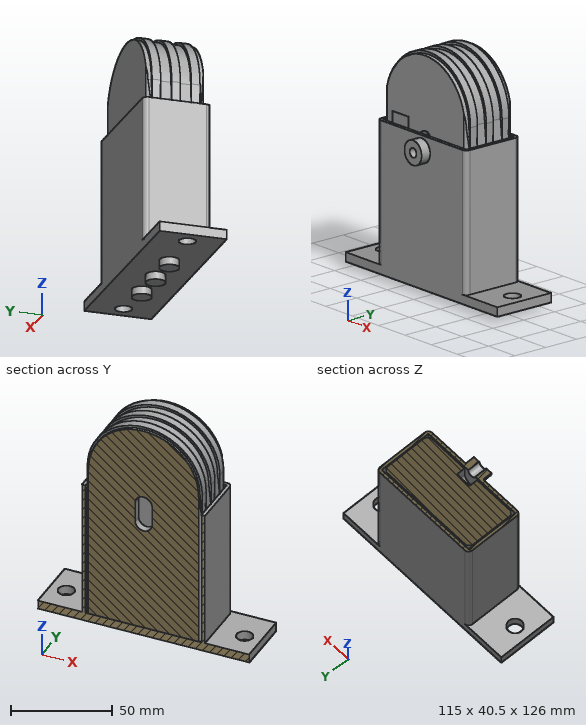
import cadquery as cq

BASE_LENGTH = 115.0
BASE_THICKNESS = 5.0
HOUSING_DEPTH = 35.0
HOUSING_HEIGHT = 80.0
TUBE_LENGTH = 67.0
WALL = 2.0
TUBE_CORNER_RADIUS = 2.5
FLANGE_HOLE_SPACING = 97.0
FLANGE_HOLE_DIAMETER = 8.6
BOSS_DIAMETER = 13.0
BOSS_HOLE_DIAMETER = 5.0
BOSS_PROJECTION = 5.5
BOSS_DROP = 8.0

HEAD_DEPTH = 30.0
RIB_RADIUS = 31.25
CORE_RADIUS = 30.0
HEAD_RISE = 42.0
TAPER_HEIGHT = 13.0
RIB_WIDTH = 4.5
RIB_PITCH = 10.25
RIB_COUNT = 3
FACE_LENGTH = 58.4
SLOT_WIDTH = 9.0
SLOT_TOP_RISE = 1.6
SLOT_BOTTOM_DROP = 18.0
SLOT_DEPTH = 5.0
RECESS_LEFT = -25.0
RECESS_LENGTH = 12.0
RECESS_RISE = 5.8
RECESS_HEIGHT = 12.0
RECESS_DEPTH = 0.2

PEG_DIAMETER = 10.0
PEG_PITCH = 21.0
PEG_COUNT = 3
PEG_PROJECTION = 4.0

BOSS_Z = HOUSING_HEIGHT - BOSS_DROP
ARCH_Z = HOUSING_HEIGHT + HEAD_RISE - RIB_RADIUS
HEAD_FRONT_Y = -HEAD_DEPTH / 2
HOUSING_FRONT_Y = -HOUSING_DEPTH / 2
PEG_POSITIONS = [((i - (PEG_COUNT - 1) / 2) * PEG_PITCH, 0) for i in range(PEG_COUNT)]


def front_cylinder(diameter, start_y, length):
    """Cylinder on the boss axis, running from start_y toward +Y."""
    return (
        cq.Workplane("XZ", origin=(0, start_y, BOSS_Z))
        .circle(diameter / 2)
        .extrude(-length)
    )


def make_housing():
    base = cq.Workplane("XY").box(BASE_LENGTH, HOUSING_DEPTH, BASE_THICKNESS, centered=(True, True, False))
    tube = (
        cq.Workplane("XY", origin=(0, 0, BASE_THICKNESS))
        .rect(TUBE_LENGTH, HOUSING_DEPTH)
        .extrude(HOUSING_HEIGHT - BASE_THICKNESS)
        .edges("|Z")
        .fillet(TUBE_CORNER_RADIUS)
    )
    cavity = (
        cq.Workplane("XY", origin=(0, 0, BASE_THICKNESS))
        .rect(TUBE_LENGTH - 2 * WALL, HOUSING_DEPTH - 2 * WALL)
        .extrude(HOUSING_HEIGHT - BASE_THICKNESS)
    )
    flange_holes = (
        cq.Workplane("XY")
        .pushPoints([(-FLANGE_HOLE_SPACING / 2, 0), (FLANGE_HOLE_SPACING / 2, 0)])
        .circle(FLANGE_HOLE_DIAMETER / 2)
        .extrude(BASE_THICKNESS)
    )
    peg_holes = (
        cq.Workplane("XY")
        .pushPoints(PEG_POSITIONS)
        .circle(PEG_DIAMETER / 2)
        .extrude(BASE_THICKNESS)
    )
    boss_end_y = HOUSING_FRONT_Y - BOSS_PROJECTION
    boss = front_cylinder(BOSS_DIAMETER, boss_end_y, BOSS_PROJECTION)
    boss_hole = front_cylinder(BOSS_HOLE_DIAMETER, boss_end_y, BOSS_PROJECTION + WALL)
    body = base.union(tube).cut(cavity).union(boss)
    return body.cut(boss_hole).cut(flange_holes).cut(peg_holes)


def make_head_core():
    """Arched block that widens from the arch down to the full rib width."""
    taper_end_z = ARCH_Z - TAPER_HEIGHT
    core = (
        cq.Workplane("XZ", origin=(0, -HEAD_FRONT_Y, 0))
        .moveTo(-RIB_RADIUS, BASE_THICKNESS)
        .lineTo(-RIB_RADIUS, taper_end_z)
        .lineTo(-CORE_RADIUS, ARCH_Z)
        .threePointArc((0, ARCH_Z + CORE_RADIUS), (CORE_RADIUS, ARCH_Z))
        .lineTo(RIB_RADIUS, taper_end_z)
        .lineTo(RIB_RADIUS, BASE_THICKNESS)
        .close()
        .extrude(HEAD_DEPTH)
    )
    chamfer_leg = RIB_RADIUS - FACE_LENGTH / 2
    chamfered_column = (
        cq.Workplane("XY", origin=(0, 0, BASE_THICKNESS))
        .rect(2 * RIB_RADIUS, HEAD_DEPTH)
        .extrude(ARCH_Z + CORE_RADIUS - BASE_THICKNESS)
        .edges("|Z")
        .chamfer(chamfer_leg)
    )
    return core.intersect(chamfered_column)


def make_rib(center_y):
    return (
        cq.Workplane("XZ", origin=(0, center_y + RIB_WIDTH / 2, 0))
        .moveTo(-RIB_RADIUS, BASE_THICKNESS)
        .lineTo(-RIB_RADIUS, ARCH_Z)
        .threePointArc((0, ARCH_Z + RIB_RADIUS), (RIB_RADIUS, ARCH_Z))
        .lineTo(RIB_RADIUS, BASE_THICKNESS)
        .close()
        .extrude(RIB_WIDTH)
    )


def make_head():
    head = make_head_core()
    for i in range(RIB_COUNT):
        head = head.union(make_rib((i - (RIB_COUNT - 1) / 2) * RIB_PITCH))
    slot_length = SLOT_TOP_RISE + SLOT_BOTTOM_DROP
    slot_center_z = HOUSING_HEIGHT + SLOT_TOP_RISE - slot_length / 2
    slot = (
        cq.Workplane("XZ", origin=(0, HEAD_FRONT_Y, slot_center_z))
        .slot2D(slot_length, SLOT_WIDTH, 90)
        .extrude(-SLOT_DEPTH)
    )
    recess = cq.Workplane("XY").box(RECESS_LENGTH, RECESS_DEPTH, RECESS_HEIGHT, centered=False).translate(
        (RECESS_LEFT, HEAD_FRONT_Y, HOUSING_HEIGHT + RECESS_RISE - RECESS_HEIGHT)
    )
    return head.cut(slot).cut(recess)


def make_peg(position):
    return (
        cq.Workplane("XY", origin=(*position, -PEG_PROJECTION))
        .circle(PEG_DIAMETER / 2)
        .extrude(PEG_PROJECTION + BASE_THICKNESS)
    )


housing = make_housing()
head = make_head()
pegs = [make_peg(position) for position in PEG_POSITIONS]

result = cq.Compound.makeCompound([housing.val(), head.val(), *[peg.val() for peg in pegs]])